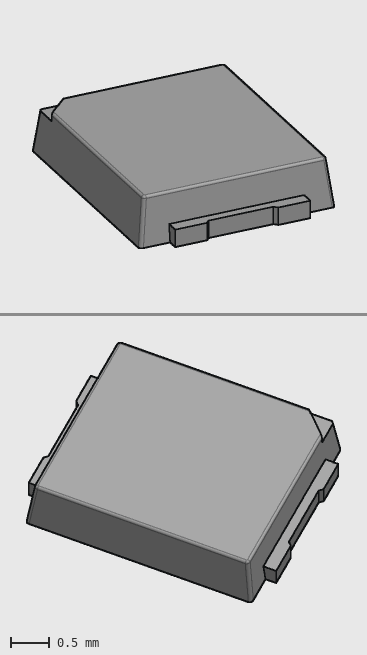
import cadquery as cq
import math

body_length = 3.2
body_width = 2.8
body_height = 0.7
draft_angle = 7.0
corner_radius = 0.05
top_edge_radius = 0.04

notch_depth = 0.105
notch_leg = 0.368

lead_span = 3.5
lead_width = 1.932
lead_height = 0.252
recess_depth = 0.05
recess_mouth_width = 1.022
recess_floor_width = recess_mouth_width - 2 * recess_depth


def make_body():
    """Drafted block with rounded upright corners and a rounded top rim."""
    block = cq.Workplane("XY").rect(body_length, body_width).extrude(body_height, taper=draft_angle)
    block = block.edges("not(|X or |Y)").fillet(corner_radius)
    return block.faces(">Z").edges().fillet(top_edge_radius)


def make_notch():
    """Triangular cutter for the front-left top corner."""
    floor_z = body_height - notch_depth
    draft_inset = floor_z * math.tan(math.radians(draft_angle))
    corner_x = draft_inset - body_length / 2
    corner_y = draft_inset - body_width / 2
    margin = 0.07
    reach = notch_leg + margin
    return (
        cq.Workplane("XY", origin=(corner_x, corner_y, floor_z))
        .moveTo(-margin, -margin)
        .lineTo(reach, -margin)
        .lineTo(-margin, reach)
        .close()
        .extrude(notch_depth)
    )


def make_leads():
    """One bar through the body, with a flared recess in each exposed end."""
    bar = cq.Workplane("XY").rect(lead_span, lead_width).extrude(lead_height)
    for side in (-1, 1):
        outer_x = side * lead_span / 2
        inner_x = outer_x - side * recess_depth
        recess = (
            cq.Workplane("XY")
            .moveTo(outer_x, -recess_mouth_width / 2)
            .lineTo(inner_x, -recess_floor_width / 2)
            .lineTo(inner_x, recess_floor_width / 2)
            .lineTo(outer_x, recess_mouth_width / 2)
            .close()
            .extrude(lead_height)
        )
        bar = bar.cut(recess)
    return bar


result = make_body().cut(make_notch()).union(make_leads())